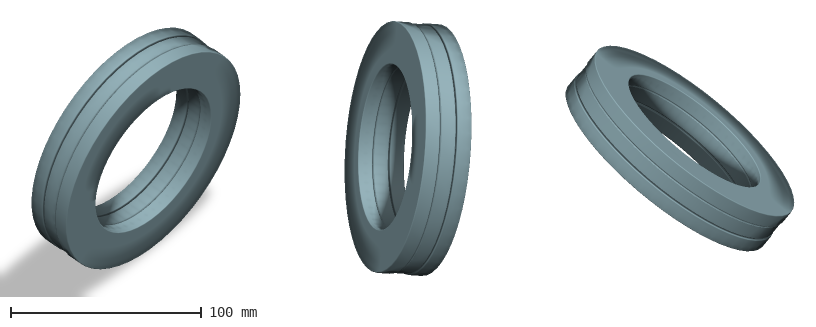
import cadquery as cq

overall_width = 25.5
washer_thickness = 8.0
washer_outer_diameter = 132.5
washer_bore_diameter = 87.4
washer_edge_radius = 0.5

cage_width = 8.6
cage_outer_diameter = 131.5
cage_bore_diameter = 88.3
cage_chamfer = 0.5


def plain_ring(start_x, width, outer_diameter, bore_diameter):
    """Sharp-edged ring around the X axis, running from start_x toward +X."""
    return (
        cq.Workplane("YZ", origin=(start_x, 0, 0))
        .circle(outer_diameter / 2)
        .circle(bore_diameter / 2)
        .extrude(width)
    )


def make_washer(start_x):
    """Flat washer with all four circular edges rounded."""
    blank = plain_ring(start_x, washer_thickness, washer_outer_diameter, washer_bore_diameter)
    return blank.faces("|X").edges().fillet(washer_edge_radius)


def make_cage():
    """Cage ring centred on the origin, with all four circular edges chamfered."""
    blank = plain_ring(-cage_width / 2, cage_width, cage_outer_diameter, cage_bore_diameter)
    return blank.faces("|X").edges().chamfer(cage_chamfer)


washer_starts = [-overall_width / 2, overall_width / 2 - washer_thickness]
washers = [make_washer(start_x) for start_x in washer_starts]
cage = make_cage()

result = cq.Compound.makeCompound([*[washer.val() for washer in washers], cage.val()])